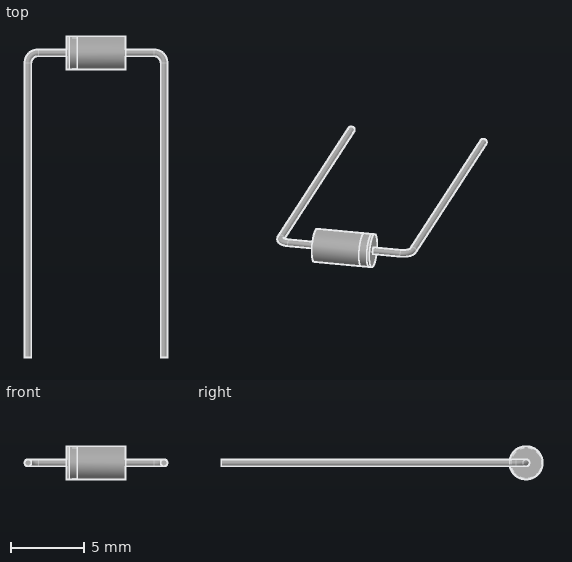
import cadquery as cq


body_diameter = 2.28
body_length = 4.05
body_radius = body_diameter / 2

band_inset = 0.19
band_width = 0.55
band_thickness = 0.1
band_start = -body_length / 2 + band_inset

lead_diameter = 0.48
lead_span = 9.75
overall_depth = 21.9
bend_radius = 0.69
lead_radius = lead_diameter / 2
lead_pitch = lead_span - lead_diameter
lead_tip_y = body_radius - overall_depth


def make_band():
    """Ring around the body axis, its outside level with the body surface."""
    return (
        cq.Workplane("YZ", origin=(band_start, 0, 0))
        .circle(body_radius)
        .circle(body_radius - band_thickness)
        .extrude(band_width)
    )


def make_body(band):
    """Plain cylinder with a groove that holds the band."""
    cylinder = (
        cq.Workplane("YZ", origin=(-body_length / 2, 0, 0))
        .circle(body_radius)
        .extrude(body_length)
    )
    return cylinder.cut(band)


def make_lead(side):
    """Bent round wire from a body end face; side is -1 for -X, +1 for +X."""
    face_x = side * body_length / 2
    leg_x = side * lead_pitch / 2
    bend_start_x = leg_x - side * bend_radius
    bend_centre_y = -bend_radius
    centreline = (
        cq.Workplane("XY")
        .moveTo(face_x, 0)
        .lineTo(bend_start_x, 0)
        .tangentArcPoint((leg_x, bend_centre_y), relative=False)
        .lineTo(leg_x, lead_tip_y)
    )
    return (
        cq.Workplane("YZ", origin=(face_x, 0, 0))
        .circle(lead_radius)
        .sweep(centreline)
    )


band = make_band()
body = make_body(band)
leads = [make_lead(side) for side in (-1, 1)]

result = cq.Compound.makeCompound(
    [body.val(), band.val(), *[lead.val() for lead in leads]]
)